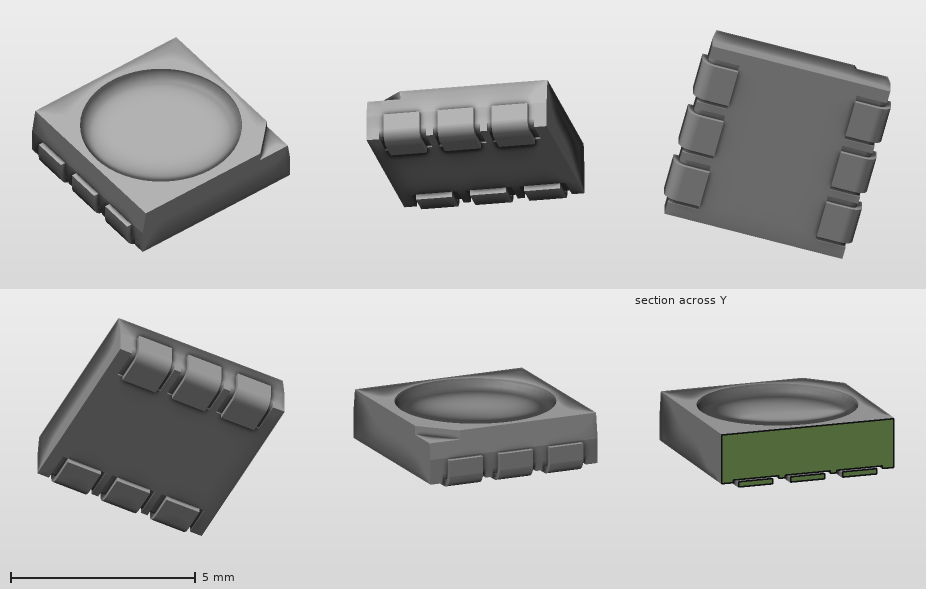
import cadquery as cq

body_size = 5.0
body_height = 1.4
taper_start = body_height / 2
taper_inset = 0.105

bowl_diameter = 4.4
bowl_depth = 0.29

mark_leg = 1.0
mark_depth = 0.25

lead_span = 5.3
lead_thickness = (lead_span - body_size) / 2
lead_width = 1.0
lead_pitch = 1.5
lead_top = 0.655
foot_length = 1.0
bend_inner_radius = 0.2
bend_outer_radius = bend_inner_radius + lead_thickness

relief_side_gap = 0.15
relief_width = lead_width + 2 * relief_side_gap
relief_depth = 0.05

half_body = body_size / 2
half_span = lead_span / 2
foot_end = half_span - foot_length


def extrude_along_x(profile, width):
    """Extrude a YZ profile symmetrically about X = 0."""
    return profile.extrude(width / 2, both=True)


def make_body():
    profile = (
        cq.Workplane("YZ")
        .moveTo(-half_body, 0)
        .lineTo(half_body, 0)
        .lineTo(half_body, taper_start)
        .lineTo(half_body - taper_inset, body_height)
        .lineTo(-half_body + taper_inset, body_height)
        .lineTo(-half_body, taper_start)
        .close()
    )
    return extrude_along_x(profile, body_size)


def make_bowl():
    rim_radius = bowl_diameter / 2
    floor_radius = rim_radius - bowl_depth
    bowl_floor = body_height - bowl_depth
    return (
        cq.Workplane("XZ")
        .moveTo(0, bowl_floor)
        .lineTo(floor_radius, bowl_floor)
        .radiusArc((rim_radius, body_height), -bowl_depth)
        .lineTo(0, body_height)
        .close()
        .revolve(360, (0, 0, 0), (0, 1, 0))
    )


def make_corner_mark():
    return (
        cq.Workplane("XY", origin=(0, 0, body_height - mark_depth))
        .moveTo(half_body, half_body)
        .lineTo(half_body - mark_leg, half_body)
        .lineTo(half_body, half_body - mark_leg)
        .close()
        .extrude(mark_depth)
    )


def make_lead():
    """Lead on the +Y side: upright leg, outer bend and inward foot."""
    profile = (
        cq.Workplane("YZ")
        .moveTo(half_body, lead_top)
        .lineTo(half_span, lead_top)
        .lineTo(half_span, bend_inner_radius)
        .radiusArc((half_span - bend_outer_radius, -lead_thickness), bend_outer_radius)
        .lineTo(foot_end, -lead_thickness)
        .lineTo(foot_end, 0)
        .lineTo(half_body - bend_inner_radius, 0)
        .radiusArc((half_body, bend_inner_radius), -bend_inner_radius)
        .close()
    )
    return extrude_along_x(profile, lead_width)


def make_relief():
    """Shallow channel above the foot, leaving a rounded body edge inside the bend."""
    profile = (
        cq.Workplane("YZ")
        .moveTo(foot_end, 0)
        .lineTo(half_body, 0)
        .lineTo(half_body, relief_depth + bend_inner_radius)
        .radiusArc((half_body - bend_inner_radius, relief_depth), bend_inner_radius)
        .lineTo(foot_end, relief_depth)
        .close()
    )
    return extrude_along_x(profile, relief_width)


result = make_body().cut(make_bowl()).cut(make_corner_mark())

for side_angle in (0, 180):
    for position in (-1, 0, 1):
        offset = (position * lead_pitch, 0, 0)
        relief = make_relief().translate(offset).rotate((0, 0, 0), (0, 0, 1), side_angle)
        lead = make_lead().translate(offset).rotate((0, 0, 0), (0, 0, 1), side_angle)
        result = result.cut(relief).union(lead)